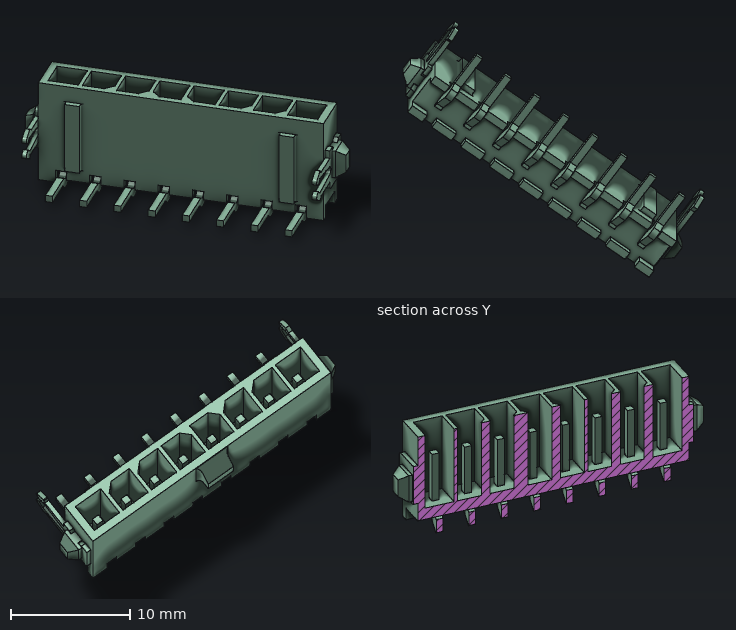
import cadquery as cq


body_width = 25.02
body_depth = 3.95
body_height = 9.25
foot_height = 1.13
channel_front = 0.68
channel_back = 3.25
center_relief = 0.35

pin_count = 8
pin_row_length = 21.0
pitch = pin_row_length / (pin_count - 1)
well_size = 2.65
well_front = 0.6
well_floor = 2.25
key_chamfer = 0.73
key_sides = (0, 1, 1, -1, -1, 1, 1, 0)
pin_size = 0.65
pin_y = 1.95
pin_top = 6.75
pin_tip_y = -3.55
pin_tail_top = 0.62
notch_width = 0.98

rib_x = 9.4
rib_width = 1.3
rib_depth = 0.5
rib_bottom = 1.45
rib_top = 7.82
rib_root_radius = 0.183

latch_width = 2.65
latch_tip_y = 5.18
latch_root_top = 9.15
latch_tip_top = 7.43
latch_bottom = 6.33
latch_flare = 0.37
latch_flare_reach = 0.55

clip_thickness = 0.42
clip_front = 0.42
clip_back = 3.65
clip_bottom = 2.8
clip_top = 6.5
clip_corner_radius = 0.35
clip_center_z = (clip_bottom + clip_top) / 2
arm_top = 5.8
arm_bottom = 3.52

overall_width = 28.15
boss_shoulder = 0.75
boss_size_y = 2.03
boss_size_z = 2.53
boss_y = 1.97
boss_z = 4.33
boss_bottom = boss_z - boss_size_z / 2
boss_tip_size_y = 1.07
boss_tip_size_z = 1.63
boss_tip_y = 1.9
boss_tip_z = 4.35

end_wall = body_width / 2
pin_positions = [(i - (pin_count - 1) / 2) * pitch for i in range(pin_count)]


def box(x_min, x_max, y_min, y_max, z_min, z_max):
    """Block given by its limits along the three axes."""
    block = cq.Workplane("XY").box(x_max - x_min, y_max - y_min, z_max - z_min, centered=False)
    return block.translate((x_min, y_min, z_min))


def make_well(x, key_side):
    """Cutter for one well, leaving the keyed front corner solid."""
    half = well_size / 2
    well = box(x - half, x + half, well_front, well_front + well_size, well_floor, body_height)
    if key_side:
        well = well.edges("|Z and <Y").edges(">X" if key_side > 0 else "<X").chamfer(key_chamfer)
    return well


def make_housing():
    """Block with wells on top and a channel, raised center and pin notches underneath."""
    housing = box(-end_wall, end_wall, 0, body_depth, 0, body_height)
    housing = housing.cut(box(-end_wall, end_wall, channel_front, channel_back, 0, foot_height))
    housing = housing.cut(box(pin_positions[0], pin_positions[-1], 0, body_depth, 0, center_relief))
    for x, key_side in zip(pin_positions, key_sides):
        half_notch = notch_width / 2
        housing = housing.cut(box(x - half_notch, x + half_notch, 0, body_depth, 0, foot_height))
        housing = housing.cut(make_well(x, key_side))
    return housing


def make_pin(x):
    """Square pin that drops from its well, dips under the front wall and runs out along -Y."""
    half = pin_size / 2
    post = box(x - half, x + half, pin_y - half, pin_y + half, foot_height, pin_top)
    tail = (
        cq.Workplane("YZ", origin=(x - half, 0, 0))
        .moveTo(2.4, foot_height)
        .lineTo(2.4, 0.75)
        .lineTo(2.08, 0.75)
        .lineTo(0.93, -0.4)
        .threePointArc((0.45, -0.48), (0, -0.4))
        .lineTo(-0.48, 0)
        .lineTo(pin_tip_y, 0)
        .lineTo(pin_tip_y, pin_tail_top)
        .lineTo(-0.28, pin_tail_top)
        .lineTo(-0.03, 0.5)
        .threePointArc((0.17, 0.42), (0.42, 0.5))
        .lineTo(1.05, foot_height)
        .close()
        .extrude(pin_size)
    )
    return post.union(tail)


def make_rib(x):
    """Vertical rib on the front wall, with concave fillets along its root."""
    half = rib_width / 2
    r = rib_root_radius
    rib = box(x - half, x + half, -rib_depth, 0, rib_bottom, rib_top)
    for side in (-1, 1):
        wall = x + side * half
        root = box(min(wall, wall + side * r), max(wall, wall + side * r), -r, 0, rib_bottom, rib_top)
        round_cut = (
            cq.Workplane("XY", origin=(wall + side * r, -r, rib_bottom))
            .circle(r)
            .extrude(rib_top - rib_bottom)
        )
        rib = rib.union(root.cut(round_cut))
    return rib


def add_latch(housing):
    """Wedge-shaped latch on the back wall, filleted into the wall at its sides and underside."""
    latch = (
        cq.Workplane("YZ", origin=(-latch_width / 2, 0, 0))
        .moveTo(body_depth, latch_root_top)
        .lineTo(latch_tip_y, latch_tip_top)
        .lineTo(latch_tip_y, latch_bottom)
        .lineTo(body_depth, latch_bottom)
        .close()
        .extrude(latch_width)
    )
    half = latch_width / 2
    flare_radius = (latch_flare**2 + latch_flare_reach**2) / (2 * latch_flare)
    flare_start = body_depth + latch_flare_reach
    root_bottom = latch_bottom - latch_flare
    plan = (
        cq.Workplane("XY", origin=(0, 0, root_bottom))
        .moveTo(-half - latch_flare, body_depth)
        .radiusArc((-half, flare_start), -flare_radius)
        .lineTo(half, flare_start)
        .radiusArc((half + latch_flare, body_depth), -flare_radius)
        .close()
        .extrude(latch_root_top - root_bottom)
    )
    slope = (latch_root_top - latch_tip_top) / (latch_tip_y - body_depth)
    side = (
        cq.Workplane("YZ", origin=(-half - latch_flare, 0, 0))
        .moveTo(body_depth, latch_root_top)
        .lineTo(flare_start, latch_root_top - slope * latch_flare_reach)
        .lineTo(flare_start, latch_bottom)
        .radiusArc((body_depth, root_bottom), -flare_radius)
        .close()
        .extrude(latch_width + 2 * latch_flare)
    )
    return housing.union(latch).union(plan.intersect(side))


def make_clip():
    """Plate against the low-X end wall, with two sprung arms reaching out along -Y."""
    return (
        cq.Workplane("YZ", origin=(-end_wall - clip_thickness, 0, 0))
        .moveTo(clip_back, clip_bottom)
        .lineTo(clip_back, clip_top - clip_corner_radius)
        .radiusArc((clip_back - clip_corner_radius, clip_top), -clip_corner_radius)
        .lineTo(clip_front + clip_corner_radius, clip_top)
        .radiusArc((clip_front, clip_top - clip_corner_radius), -clip_corner_radius)
        .lineTo(clip_front, arm_top)
        .lineTo(-2.0, arm_top)
        .lineTo(-2.42, 6.08)
        .lineTo(-3.3, 5.6)
        .threePointArc((-3.4, 5.37), (-3.3, 5.12))
        .lineTo(-2.95, 4.95)
        .lineTo(-2.5, 5.3)
        .lineTo(-1.83, 5.25)
        .lineTo(0.4, 5.05)
        .threePointArc((0.68, 4.65), (0.4, 4.3))
        .lineTo(-2.1, 4.0)
        .lineTo(-2.42, 4.0)
        .lineTo(-2.95, 4.35)
        .lineTo(-3.3, 4.15)
        .threePointArc((-3.4, 3.9), (-3.3, 3.7))
        .lineTo(-2.42, 3.25)
        .lineTo(-2.34, 3.3)
        .lineTo(-2.2, arm_bottom)
        .lineTo(clip_front, arm_bottom)
        .lineTo(clip_front, clip_bottom)
        .lineTo(1.25, clip_bottom)
        .lineTo(1.45, boss_bottom)
        .lineTo(2.45, boss_bottom)
        .lineTo(2.45, 3.26)
        .lineTo(2.93, clip_bottom)
        .close()
        .extrude(clip_thickness)
    )


def make_boss():
    """Rectangular boss on the outside of the low-X clip, tapering to its tip."""
    shoulder_x = -end_wall - boss_shoulder
    tip_length = overall_width / 2 - end_wall - boss_shoulder
    base = (
        cq.Workplane("YZ", origin=(shoulder_x, boss_y, boss_z))
        .rect(boss_size_y, boss_size_z)
        .extrude(boss_shoulder - clip_thickness)
    )
    taper = (
        cq.Workplane("YZ", origin=(shoulder_x, boss_y, boss_z))
        .rect(boss_size_y, boss_size_z)
        .workplane(offset=-tip_length)
        .center(boss_tip_y - boss_y, boss_tip_z - boss_z)
        .rect(boss_tip_size_y, boss_tip_size_z)
        .loft(ruled=True)
    )
    return base.union(taper)


result = add_latch(make_housing())
for x in pin_positions:
    result = result.union(make_pin(x))
for x in (-rib_x, rib_x):
    result = result.union(make_rib(x))

left_clip = make_clip().union(make_boss())
right_clip = left_clip.rotate((0, 0, clip_center_z), (0, 1, clip_center_z), 180)
result = result.union(left_clip).union(right_clip)